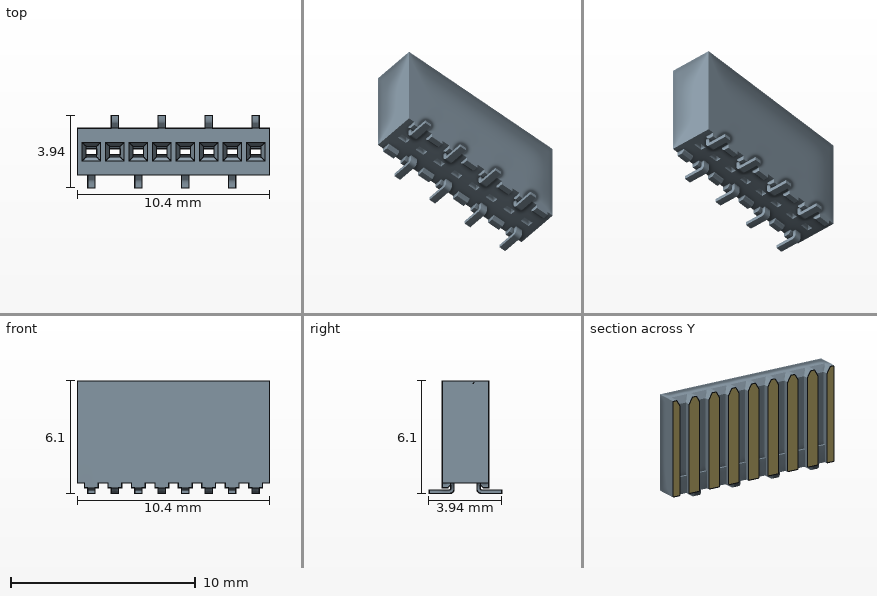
import cadquery as cq

contact_count = 8
pitch = 1.27
contact_xs = [(i - (contact_count - 1) / 2) * pitch for i in range(contact_count)]

overall_depth = 3.94
overall_height = 6.1
housing_length = 10.41
housing_depth = 2.54
floor_z = 0.56

funnel_width = 1.0
hole_width = 0.56
funnel_depth = 0.38

lead_width = 0.41
lead_thickness = 0.2
lead_outer_y = 0.81
inner_bend = 0.05
outer_bend = inner_bend + lead_thickness
lead_inner_y = lead_outer_y - lead_thickness

contact_gap = 0.31
rail_inner_y = contact_gap / 2
rail_width = lead_outer_y - rail_inner_y
rail_length = (contact_count - 1) * pitch + funnel_width
rail_height = 1.0

pad_width = 0.76
pad_height = 0.25
pad_depth = housing_depth / 2 - lead_outer_y
pad_chamfer = 0.15


def make_rail():
    """Rail of the -Y row, standing on the level of the housing floor."""
    return (
        cq.Workplane("XY", origin=(0, -(rail_inner_y + rail_width / 2), floor_z))
        .box(rail_length, rail_width, rail_height, centered=(True, True, False))
    )


def rear_copy(body):
    """The same body turned half a turn about Z, for the +Y row."""
    return body.rotate((0, 0, 0), (0, 0, 1), 180)


def make_socket(x):
    """Funnel and through hole of one socket."""
    funnel = (
        cq.Workplane("XY", origin=(x, 0, overall_height))
        .rect(funnel_width, funnel_width)
        .workplane(offset=-funnel_depth)
        .rect(hole_width, hole_width)
        .loft(ruled=True)
    )
    hole = (
        cq.Workplane("XY", origin=(x, 0, floor_z))
        .rect(hole_width, hole_width)
        .extrude(overall_height - floor_z - funnel_depth)
    )
    return funnel.union(hole)


def make_pad(x):
    """Standoff pad under the -Y edge, chamfered below next to the lead."""
    return (
        cq.Workplane("XY", origin=(x, -(lead_outer_y + pad_depth / 2), floor_z - pad_height))
        .box(pad_width, pad_depth, pad_height, centered=(True, True, False))
        .edges(">Y and <Z")
        .chamfer(pad_chamfer)
    )


def make_housing():
    """Block with sockets, two rail channels open at the floor, and pads."""
    body = (
        cq.Workplane("XY", origin=(0, 0, floor_z))
        .box(housing_length, housing_depth, overall_height - floor_z, centered=(True, True, False))
    )
    for x in contact_xs:
        body = body.cut(make_socket(x))
    body = body.cut(make_rail()).cut(rear_copy(make_rail()))
    for x in contact_xs:
        pad = make_pad(x)
        body = body.union(pad).union(rear_copy(pad))
    return body


def make_lead(x):
    """Lead of the -Y row: down from the rail, round a bend and out to the foot."""
    foot_end_y = overall_depth / 2
    return (
        cq.Workplane("YZ", origin=(x - lead_width / 2, 0, 0))
        .moveTo(-lead_inner_y, floor_z)
        .lineTo(-lead_inner_y, outer_bend)
        .radiusArc((-lead_inner_y - outer_bend, 0), outer_bend)
        .lineTo(-foot_end_y, 0)
        .lineTo(-foot_end_y, lead_thickness)
        .lineTo(-lead_outer_y - inner_bend, lead_thickness)
        .radiusArc((-lead_outer_y, lead_thickness + inner_bend), -inner_bend)
        .lineTo(-lead_outer_y, floor_z)
        .close()
        .extrude(lead_width)
    )


def make_contact_strip():
    """Rail of the -Y row with a lead at every second socket."""
    strip = make_rail()
    for x in contact_xs[::2]:
        strip = strip.union(make_lead(x))
    return strip


housing = make_housing()

front_strip = make_contact_strip()
rear_strip = rear_copy(front_strip)

result = cq.Compound.makeCompound([housing.val(), front_strip.val(), rear_strip.val()])